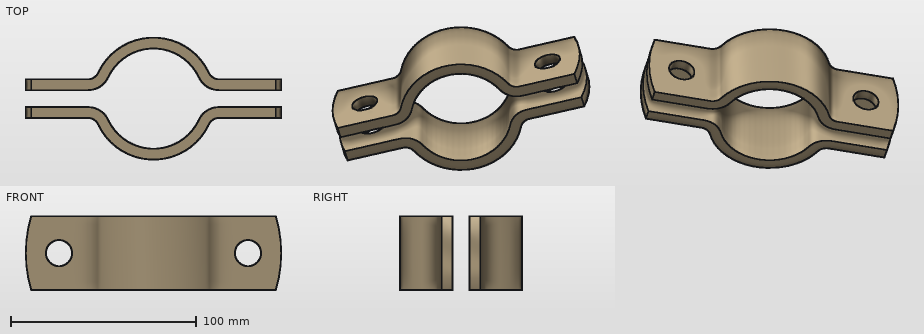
import cadquery as cq
import math

bore_radius = 27.0
strap_thickness = 6.0
strap_width = 40.0
flange_gap = 9.0
overall_length = 138.0
bend_radius = 6.0
bolt_hole_diameter = 14.0
bolt_hole_spacing = 102.0

outer_radius = bore_radius + strap_thickness
outer_bend_radius = bend_radius + strap_thickness
half_length = overall_length / 2
flange_inner_y = flange_gap / 2
flange_outer_y = flange_inner_y + strap_thickness

bend_center_y = flange_outer_y + bend_radius
bend_center_distance = outer_radius + bend_radius
bend_center_x = math.sqrt(bend_center_distance**2 - bend_center_y**2)
saddle_angle = math.atan2(bend_center_y, bend_center_x)
bend_mid_angle = (saddle_angle + math.pi / 2) / 2


def saddle_point(radius):
    """Point where the saddle arc of the given radius meets the right-hand bend."""
    return radius * math.cos(saddle_angle), radius * math.sin(saddle_angle)


def bend_mid_point(radius):
    """Middle of the right-hand bend arc of the given radius."""
    return (
        bend_center_x - radius * math.cos(bend_mid_angle),
        bend_center_y - radius * math.sin(bend_mid_angle),
    )


def mirrored(point):
    """The same point on the left-hand side."""
    return -point[0], point[1]


def bent_strap():
    """Strap of constant thickness: flange, bend, half-round saddle, bend, flange."""
    inner_bend_mid = bend_mid_point(outer_bend_radius)
    outer_bend_mid = bend_mid_point(bend_radius)
    inner_saddle_end = saddle_point(bore_radius)
    outer_saddle_end = saddle_point(outer_radius)
    return (
        cq.Workplane("XY")
        .workplane(offset=-strap_width / 2)
        .moveTo(-half_length, flange_inner_y)
        .lineTo(-bend_center_x, flange_inner_y)
        .threePointArc(mirrored(inner_bend_mid), mirrored(inner_saddle_end))
        .threePointArc((0, bore_radius), inner_saddle_end)
        .threePointArc(inner_bend_mid, (bend_center_x, flange_inner_y))
        .lineTo(half_length, flange_inner_y)
        .lineTo(half_length, flange_outer_y)
        .lineTo(bend_center_x, flange_outer_y)
        .threePointArc(outer_bend_mid, outer_saddle_end)
        .threePointArc((0, outer_radius), mirrored(outer_saddle_end))
        .threePointArc(mirrored(outer_bend_mid), (-bend_center_x, flange_outer_y))
        .lineTo(-half_length, flange_outer_y)
        .close()
        .extrude(strap_width)
    )


def rounded_end_envelope():
    """Disc across the strap whose rim gives both flange ends their curve."""
    return cq.Workplane("XZ").circle(half_length).extrude(-outer_radius)


def bolt_holes():
    """Cutters for the two bolt holes, one in each flange."""
    return (
        cq.Workplane("XZ")
        .pushPoints([(-bolt_hole_spacing / 2, 0), (bolt_hole_spacing / 2, 0)])
        .circle(bolt_hole_diameter / 2)
        .extrude(-outer_radius)
    )


def clamp_half(rotation):
    """One clamp half, turned about the bore axis by the given angle in degrees."""
    half = bent_strap().intersect(rounded_end_envelope()).cut(bolt_holes())
    return half.rotate((0, 0, 0), (0, 0, 1), rotation)


clamp_halves = [clamp_half(rotation) for rotation in (0, 180)]

result = cq.Compound.makeCompound([half.val() for half in clamp_halves])